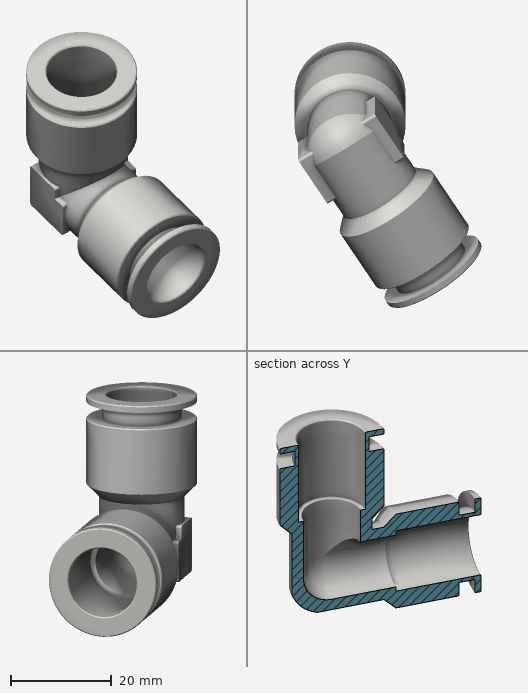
import cadquery as cq

overall = 42.5
socket_diameter = 22.0
pipe_diameter = 17.0
neck_diameter = 15.8
tube_diameter = 14.0
passage_diameter = 12.0

end_face = overall - socket_diameter / 2
cone_start = 10.95
cone_length = 2.55
tube_stop = cone_start + cone_length
shoulder = 26.8
flange_thickness = 1.35
edge_chamfer = 0.2

ball_radius = 8.37
ball_offset = 0.55

pad_width_across = 18.0
pad_low = -5.0
pad_high = 5.95
pad_notch = 3.3
pad_corner_radius = 0.5

socket_radius = socket_diameter / 2
pipe_radius = pipe_diameter / 2
neck_radius = neck_diameter / 2
tube_radius = tube_diameter / 2
passage_radius = passage_diameter / 2


def turn_to_x(upright):
    """Turn an end built along +Z so that it points along +X."""
    return upright.rotate((0, 0, 0), (0, 1, 0), 90)


def make_end():
    """Solid end along +Z: pipe, cone, socket, neck and release flange."""
    flange_back = end_face - flange_thickness
    profile = [
        (0, 0),
        (pipe_radius, 0),
        (pipe_radius, cone_start),
        (socket_radius, tube_stop),
        (socket_radius, shoulder - edge_chamfer),
        (socket_radius - edge_chamfer, shoulder),
        (neck_radius, shoulder),
        (neck_radius, flange_back),
        (socket_radius, flange_back),
        (socket_radius, end_face - edge_chamfer),
        (socket_radius - edge_chamfer, end_face),
        (0, end_face),
    ]
    return cq.Workplane("XZ").polyline(profile).close().revolve(360, (0, 0), (0, 1))


def make_bore():
    """Stepped bore along +Z: passage, tube seat and chamfered mouth."""
    profile = [
        (0, 0),
        (passage_radius, 0),
        (passage_radius, tube_stop),
        (tube_radius, tube_stop),
        (tube_radius, end_face - edge_chamfer),
        (tube_radius + edge_chamfer, end_face),
        (0, end_face),
    ]
    return cq.Workplane("XZ").polyline(profile).close().revolve(360, (0, 0), (0, 1))


def make_bend():
    """Outer corner of the bend: both pipes crossed, then rounded by the ball."""
    pipe = cq.Workplane("XY").circle(pipe_radius).extrude(-pipe_radius)
    ball = cq.Workplane("XY").sphere(ball_radius).translate((-ball_offset, 0, -ball_offset))
    return pipe.intersect(turn_to_x(pipe)).intersect(ball)


def make_pads():
    """Notched block through the bend whose two ends stand out as pads."""
    outline = [
        (pad_low, pad_low),
        (pad_high, pad_low),
        (pad_high, pad_notch),
        (pad_notch, pad_notch),
        (pad_notch, pad_high),
        (pad_low, pad_high),
    ]
    block = cq.Workplane("XZ").polyline(outline).close().extrude(pad_width_across / 2, both=True)
    inner_corner = cq.selectors.NearestToPointSelector((pad_notch, 0, pad_notch))
    outer_corners = block.edges("|Y").edges(cq.selectors.InverseSelector(inner_corner))
    return outer_corners.fillet(pad_corner_radius)


end = make_end()
bore = make_bore()
bore_corner = cq.Workplane("XY").sphere(passage_radius)

body = end.union(turn_to_x(end)).union(make_bend()).union(make_pads())
result = body.cut(bore).cut(turn_to_x(bore)).cut(bore_corner)